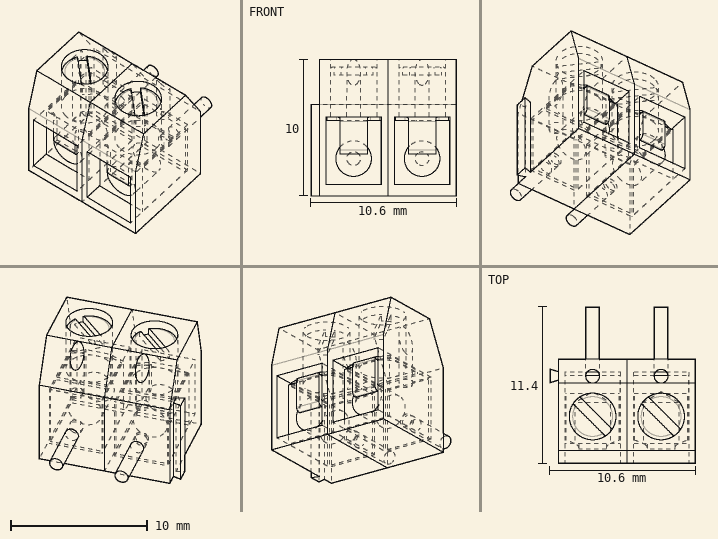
import cadquery as cq
import math


pole_count = 2
housing_height = 10.0
row_width = 10.0
pole_width = row_width / pole_count
housing_depth = 7.6
shoulder_z = 6.7
front_slope_run = 0.95
back_slope_run = 1.75
pole_center_x = pole_width / 2

dovetail_reach = 0.6
dovetail_tip_width = 1.0
dovetail_root_width = 0.64
dovetail_center_y = housing_depth - 1.22

cavity_width = 4.05
cavity_floor_z = 0.84
cavity_top_z = 5.77
back_wall = 0.93
cavity_back_y = housing_depth - back_wall

block_width = 4.01
block_front_y = 1.45
block_back_gap = 0.25
block_back_y = cavity_back_y - block_back_gap
block_top_z = 5.54
wire_hole_diameter = 2.6
wire_hole_depth = 3.0
drill_point_angle = 118
pin_diameter = 1.0
pin_length = 3.8
pin_z = 2.75

tongue_width = 2.0
tongue_thickness = 0.4
tongue_bottom_z = 3.08
tongue_edge_radius = 0.3
tongue_front_y = block_front_y - tongue_thickness
flange_width = 3.85
flange_sweep_angle = 22
flange_root_setback = 0.27
flange_root_radius = 0.4
flange_back_y = 5.1

screw_diameter = 3.41
screw_sink = 0.55
screw_edge_radius = 0.25
screw_y = 3.42
slot_width = 0.71
slot_depth = 0.6
slot_angle = -45

test_hole_diameter = pin_diameter
test_hole_margin = 0.01
test_hole_y = housing_depth - back_slope_run + test_hole_margin + test_hole_diameter / 2


def upright_cylinder(diameter, y, bottom_z, top_z):
    """Vertical cylinder on the pole's centre plane."""
    return (cq.Workplane("XY", origin=(pole_center_x, y, bottom_z))
            .circle(diameter / 2).extrude(top_z - bottom_z))


def make_solder_pin():
    """Round pin from the back of the terminal block to its free end."""
    length = housing_depth + pin_length - block_back_y
    return (cq.Workplane("XZ", origin=(pole_center_x, block_back_y, pin_z))
            .circle(pin_diameter / 2).extrude(-length))


def make_centered_box(width, front_y, back_y, bottom_z, top_z):
    """Box centred on the pole in X."""
    return (cq.Workplane("XY", origin=(pole_center_x, (front_y + back_y) / 2, bottom_z))
            .box(width, back_y - front_y, top_z - bottom_z, centered=(True, True, False)))


def make_dovetail():
    tip, root = dovetail_tip_width / 2, dovetail_root_width / 2
    return (cq.Workplane("XY", origin=(0, dovetail_center_y, 0))
            .polyline([(0, -root), (0, root), (-dovetail_reach, tip), (-dovetail_reach, -tip)])
            .close().extrude(shoulder_z))


def make_housing(has_dovetail):
    side_outline = [
        (0, 0),
        (housing_depth, 0),
        (housing_depth, shoulder_z),
        (housing_depth - back_slope_run, housing_height),
        (front_slope_run, housing_height),
        (0, shoulder_z),
    ]
    housing = cq.Workplane("YZ").polyline(side_outline).close().extrude(pole_width)
    if has_dovetail:
        housing = housing.union(make_dovetail())
    cavity = make_centered_box(cavity_width, 0, cavity_back_y, cavity_floor_z, cavity_top_z)
    screw_hole = upright_cylinder(screw_diameter, screw_y, cavity_top_z, housing_height)
    test_hole = upright_cylinder(test_hole_diameter, test_hole_y, block_top_z, housing_height)
    return housing.cut(cavity).cut(screw_hole).cut(test_hole).cut(make_solder_pin())


def make_terminal():
    block = make_centered_box(block_width, block_front_y, block_back_y, cavity_floor_z, block_top_z)
    hole_radius = wire_hole_diameter / 2
    tip_length = hole_radius / math.tan(math.radians(drill_point_angle / 2))
    cone_y = block_front_y + wire_hole_depth
    half_section = [
        (0, block_front_y),
        (hole_radius, block_front_y),
        (hole_radius, cone_y),
        (0, cone_y + tip_length),
    ]
    wire_hole = (cq.Workplane("XY", origin=(pole_center_x, 0, pin_z))
                 .polyline(half_section).close().revolve(360, (0, 0), (0, 1)))
    return block.cut(wire_hole).union(make_solder_pin())


def make_wire_guard():
    tongue_half, flange_half = tongue_width / 2, flange_width / 2
    root_y = tongue_front_y + flange_root_setback
    sweep_run = (flange_half - tongue_half) * math.tan(math.radians(flange_sweep_angle))
    plan = [
        (-tongue_half, tongue_front_y),
        (tongue_half, tongue_front_y),
        (tongue_half, root_y),
        (flange_half, root_y + sweep_run),
        (flange_half, flange_back_y),
        (-flange_half, flange_back_y),
        (-flange_half, root_y + sweep_run),
        (-tongue_half, root_y),
    ]
    flange = (cq.Workplane("XY", origin=(pole_center_x, 0, block_top_z))
              .polyline(plan).close().extrude(cavity_top_z - block_top_z))
    margin = flange_root_setback / 2
    root_corners = cq.selectors.BoxSelector(
        (pole_center_x - tongue_half - margin, root_y - margin, block_top_z),
        (pole_center_x + tongue_half + margin, root_y + margin, cavity_top_z))
    flange = flange.edges("|Z").edges(root_corners).fillet(flange_root_radius)
    tongue = make_centered_box(tongue_width, tongue_front_y, block_front_y, tongue_bottom_z, block_top_z)
    guard = flange.union(tongue)

    radius = tongue_edge_radius
    for edge_z, inward in ((cavity_top_z, -1), (tongue_bottom_z, 1)):
        center_y = tongue_front_y + radius
        center_z = edge_z + inward * radius
        corner = (cq.Workplane("YZ")
                  .moveTo(tongue_front_y, edge_z)
                  .lineTo(center_y, edge_z)
                  .radiusArc((tongue_front_y, center_z), inward * radius)
                  .close().extrude(pole_width))
        guard = guard.cut(corner)
    return guard


def make_screw():
    top_z = housing_height - screw_sink
    screw = upright_cylinder(screw_diameter, screw_y, cavity_top_z, top_z)
    screw = screw.faces(">Z").edges().fillet(screw_edge_radius)
    slot = (cq.Workplane("XY", origin=(pole_center_x, screw_y, top_z))
            .transformed(rotate=(0, 0, slot_angle))
            .rect(screw_diameter, slot_width).extrude(-slot_depth))
    return screw.cut(slot)


bodies = []
for pole in range(pole_count):
    is_end_pole = pole == 0
    for body in (make_housing(has_dovetail=is_end_pole), make_terminal(), make_wire_guard(), make_screw()):
        placed_body = body.translate((pole * pole_width, 0, 0))
        bodies.append(placed_body.solids().val())

result = cq.Compound.makeCompound(bodies)